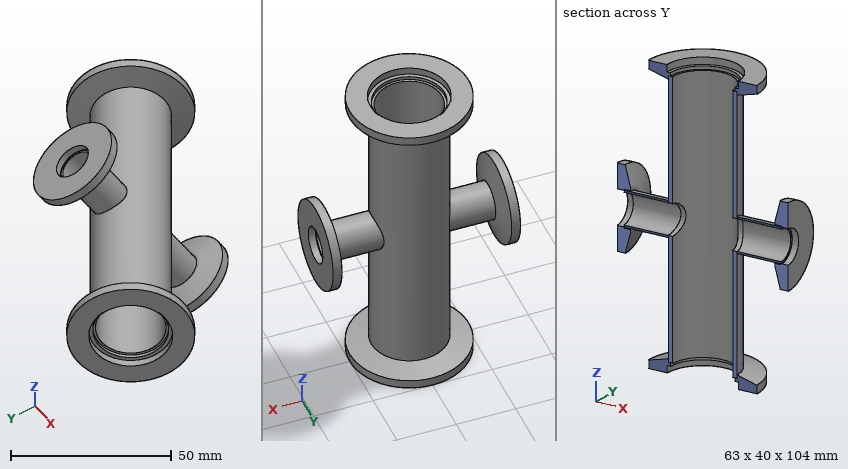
import cadquery as cq
import math

height = 104.0
span = 63.0
main_outer_d = 25.4
main_bore_d = 22.0
branch_outer_d = 12.7
branch_bore_d = 10.9

rim_thickness = 3.0
taper_length = 2.0
taper_angle = math.radians(15)
socket_clearance = 0.2

main_flange_d = 40.0
main_lip_bore_d = 23.7
main_recess_d = 26.2
main_recess_depth = 2.5
main_tube_setback = 3.6

branch_flange_d = 30.0
branch_lip_bore_d = 12.2
branch_tube_setback = 2.5


def cylinder(diameter, start, end):
    """Cylinder on the Z axis between two heights."""
    return cq.Workplane("XY").workplane(offset=start).circle(diameter / 2).extrude(end - start)


def make_flange(outer_d, lip_bore_d, tube_d, tube_setback):
    """Flange with its sealing face at Z = 0 and its tapered back towards +Z."""
    back = rim_thickness + taper_length
    rim_r = outer_d / 2
    back_r = rim_r - taper_length / math.tan(taper_angle)
    blank = (
        cq.Workplane("XZ")
        .polyline([(0, 0), (rim_r, 0), (rim_r, rim_thickness), (back_r, back), (0, back)])
        .close()
        .revolve(360, (0, 0), (0, 1))
    )
    lip_bore = cylinder(lip_bore_d, 0, tube_setback)
    tube_socket = cylinder(tube_d + socket_clearance, tube_setback, back)
    return blank.cut(lip_bore).cut(tube_socket)


def make_main_flange():
    """Large flange, with a recess for a centering ring in its sealing face and a sharp socket edge."""
    flange = make_flange(main_flange_d, main_lip_bore_d, main_outer_d, main_tube_setback)
    return flange.cut(cylinder(main_recess_d, 0, main_recess_depth))


def make_branch_flange():
    """Small flange, with a plain lip bore."""
    return make_flange(branch_flange_d, branch_lip_bore_d, branch_outer_d, branch_tube_setback)


def make_main_tube():
    """Main tube with a port through both walls for the branch bores."""
    half_length = height / 2 - main_tube_setback
    tube = cylinder(main_outer_d, -half_length, half_length)
    tube = tube.cut(cylinder(main_bore_d, -half_length, half_length))
    ports = cylinder(branch_bore_d, -main_outer_d, main_outer_d).rotate((0, 0, 0), (0, 1, 0), 90)
    return tube.cut(ports)


def make_branch_tube():
    """Branch tube on the -X side, its inner end shaped to the main tube's outside."""
    length = span / 2 - branch_tube_setback
    tube = cylinder(branch_outer_d, -length, 0).cut(cylinder(branch_bore_d, -length, 0))
    tube = tube.rotate((0, 0, 0), (0, 1, 0), 90)
    return tube.cut(cylinder(main_outer_d, -branch_outer_d, branch_outer_d))


main_tube = make_main_tube()
bottom_flange = make_main_flange().translate((0, 0, -height / 2))
left_branch_tube = make_branch_tube()
left_branch_flange = (
    make_branch_flange().rotate((0, 0, 0), (0, 1, 0), 90).translate((-span / 2, 0, 0))
)

bodies = [main_tube.solids().val()]
for half_turn in (0, 180):
    bodies.append(bottom_flange.rotate((0, 0, 0), (1, 0, 0), half_turn).solids().val())
    bodies.append(left_branch_tube.rotate((0, 0, 0), (0, 0, 1), half_turn).solids().val())
    bodies.append(left_branch_flange.rotate((0, 0, 0), (0, 0, 1), half_turn).solids().val())

result = cq.Compound.makeCompound(bodies)